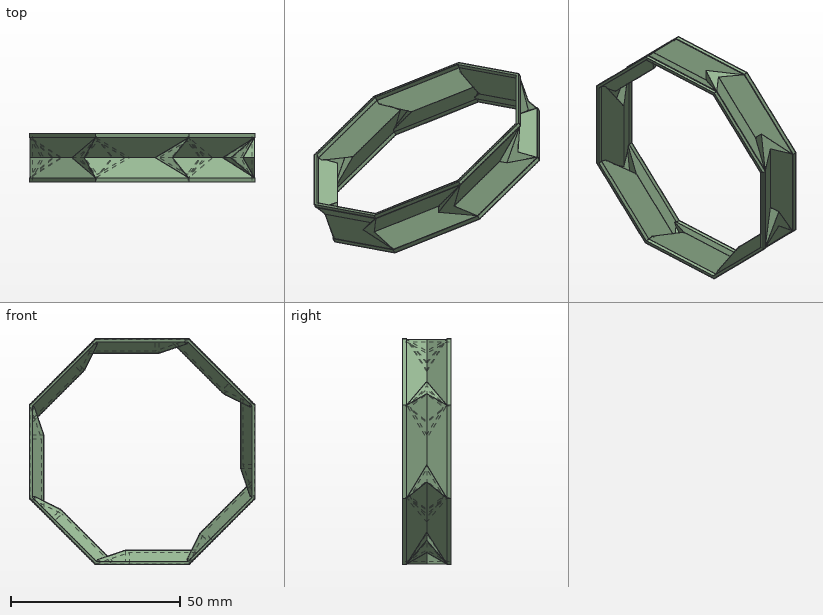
import cadquery as cq
import math

side_count = 8
outer_apothem = 33.39
ring_width = 14.4
rim_thickness = 0.9

band_width = 12.0
band_recess = 0.2

fold_depth = 3.4
arrow_length = 10.0
end_wall_length = 1.15

turn_angle = 360.0 / side_count
half_turn = math.radians(turn_angle / 2)
half_side = outer_apothem * math.tan(half_turn)
half_band = band_width / 2
far_overrun = half_side / 2
band_apothem = outer_apothem - band_recess
inner_apothem = outer_apothem - rim_thickness


def octagon(apothem, width):
    """Octagonal disc of the given apothem, centred on Y = 0, with a flat side facing -Z."""
    diameter = 2 * apothem / math.cos(half_turn)
    disc = cq.Workplane("XZ").polygon(side_count, diameter).extrude(width / 2, both=True)
    return disc.rotate((0, 0, 0), (0, 1, 0), turn_angle / 2)


def fold_bar(edge_depth, start_x):
    """V-section bar along the bottom side, starting at start_x with an arrow-shaped notch.

    It is edge_depth deep at the band edges and deeper by fold_depth along the middle.
    """
    bottom_z = -outer_apothem
    edge_z = bottom_z + edge_depth
    peak_z = edge_z + fold_depth
    end_x = half_side + far_overrun
    section = [
        (-half_band, bottom_z),
        (half_band, bottom_z),
        (half_band, edge_z),
        (0, peak_z),
        (-half_band, edge_z),
    ]
    notched_plan = [
        (start_x, -half_band),
        (end_x, -half_band),
        (end_x, half_band),
        (start_x, half_band),
        (start_x + arrow_length, 0),
    ]
    bar = cq.Workplane("YZ", origin=(start_x, 0, 0)).polyline(section).close().extrude(end_x - start_x)
    plan = cq.Workplane("XY", origin=(0, 0, bottom_z)).polyline(notched_plan).close()
    return bar.intersect(plan.extrude(peak_z - bottom_z))


def around_ring(body):
    """Copies of a bottom-side body, one for each side."""
    return [body.rotate((0, 0, 0), (0, 1, 0), turn_angle * i) for i in range(side_count)]


def plain_ring(band_disc):
    """Unfolded ring: two rims joined by the recessed band."""
    rims = octagon(outer_apothem, ring_width).cut(octagon(outer_apothem, band_width))
    return rims.union(band_disc).cut(octagon(inner_apothem, ring_width))


def add_ridges(ring, band_disc):
    """Solid inner ridges, trimmed where they would stick out of the band."""
    ridge = fold_bar(rim_thickness, -half_side - end_wall_length).intersect(band_disc)
    for side_ridge in around_ring(ridge):
        ring = ring.union(side_ridge)
    return ring


def cut_grooves(ring):
    """Outer grooves, which leave the ridges as thin folded sheets."""
    groove = fold_bar(band_recess, -half_side)
    for side_groove in around_ring(groove):
        ring = ring.cut(side_groove)
    return ring


band = octagon(band_apothem, band_width)
result = cut_grooves(add_ridges(plain_ring(band), band))